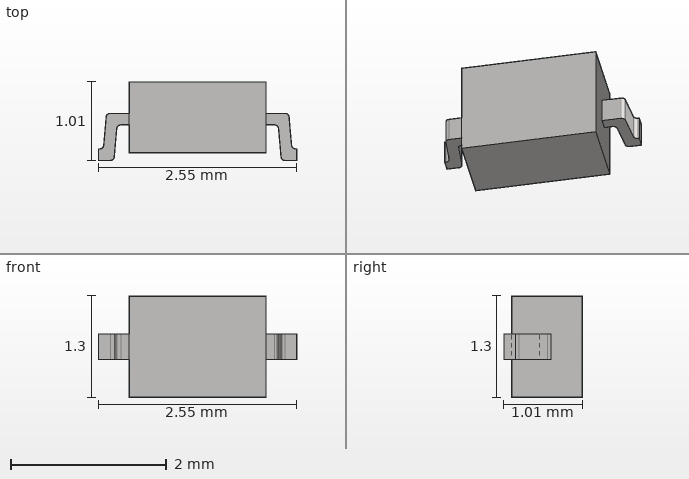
import cadquery as cq
import math

span = 2.55

body_length = 1.76
body_depth = 0.91
body_height = 1.3
standoff = 0.1

lead_thickness = 0.15
lead_width = 0.33
lead_top = 0.607
heel = 0.201
leg_lean = 5.0
bend_radius = 0.05

tip_x = -span / 2
lean_slope = math.tan(math.radians(leg_lean))
leg_run = lead_thickness / math.cos(math.radians(leg_lean))


def inner_leg_x(y):
    """X of the leg face nearest the body at height y."""
    return tip_x + heel + lean_slope * y


def outer_leg_x(y):
    """X of the leg face farthest from the body at height y."""
    return inner_leg_x(y) - leg_run


def make_body():
    return cq.Workplane("XY").box(body_length, body_depth, body_height).translate(
        (0, standoff + body_depth / 2, 0)
    )


def make_left_lead():
    arm_underside = lead_top - lead_thickness
    body_face_x = -body_length / 2
    bends = [
        (inner_leg_x(0), 0),
        (inner_leg_x(arm_underside), arm_underside),
        (outer_leg_x(lead_top), lead_top),
        (outer_leg_x(lead_thickness), lead_thickness),
    ]
    outline = [
        (tip_x, 0),
        *bends[:2],
        (body_face_x, arm_underside),
        (body_face_x, lead_top),
        *bends[2:],
        (tip_x, lead_thickness),
    ]
    lead = cq.Workplane("XY").polyline(outline).close().extrude(lead_width / 2, both=True)
    for x, y in bends:
        bend_edge = cq.selectors.NearestToPointSelector((x, y, 0))
        lead = lead.edges("|Z").edges(bend_edge).fillet(bend_radius)
    return lead


left_lead = make_left_lead()
right_lead = left_lead.mirror("YZ")
result = make_body().union(left_lead).union(right_lead)